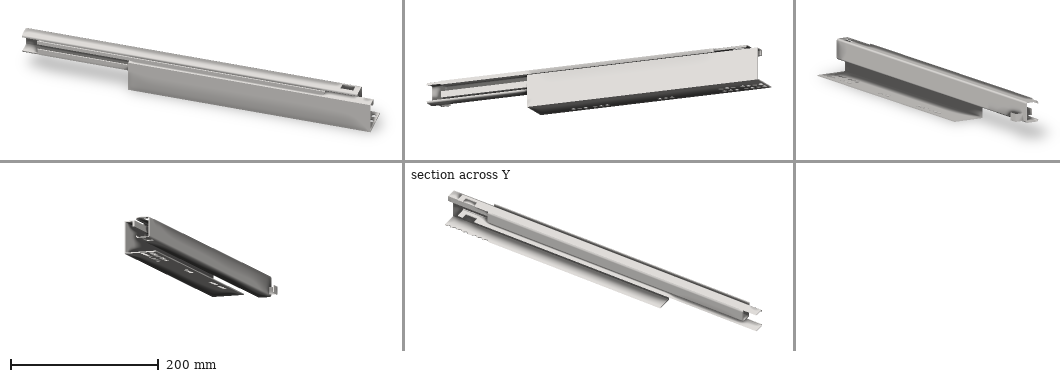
import cadquery as cq


TOTAL_LENGTH = 494.5
TOTAL_WIDTH = 45.5
TOTAL_HEIGHT = 53.5

CABINET_LENGTH = 342.0
CABINET_START_X = TOTAL_LENGTH - CABINET_LENGTH
CABINET_SHEET = 1.5
CABINET_HEIGHT = 45.0
TOP_FLANGE_WIDTH = 14.5
HEM_THICKNESS = 2 * CABINET_SHEET
HEM_HEIGHT = 8.5

HOLE_DIAMETER = 7.0
HOLE_PITCH = 9.0
HOLE_GROUP_STEP = 32.0
LAST_GROUP_X = TOTAL_LENGTH - 33.0
OUTER_ROW_Y = 36.2
INNER_ROW_Y = 24.2
INNER_ROW_GROUPS = [(0, 4), (1, 3)]
OUTER_ROW_GROUPS = INNER_ROW_GROUPS + [(4, 3), (7, 3), (8, 3)]

DRAWER_LENGTH = 474.0
DRAWER_SHEET = 1.2
DRAWER_FRONT_Y = 8.7
DRAWER_BACK_Y = 28.2
DRAWER_BOTTOM_Z = 24.8
DRAWER_BEND_RADIUS = 2.5
UPPER_LIP_HEIGHT = 3.8
LOWER_LIP_HEIGHT = 3.0

WINDOW_LENGTH = 18.0
WINDOW_END_X = DRAWER_LENGTH - 8.0
WINDOW_FRONT_Y = 14.8
WINDOW_BACK_Y = 24.8

TAB_START_X = 8.2
TAB_LENGTH = 13.0
TAB_BACK_Y = 40.0
TAB_BOTTOM_Z = 26.2
TAB_TOP_Z = 36.8

MIDDLE_START_X = 23.0
MIDDLE_END_X = 428.0
MIDDLE_SHEET = 1.5
MIDDLE_BEND_RADIUS = 3.5
MIDDLE_BACK_Y = 20.7
UPPER_LIP_FRONT_Y = 2.8
UPPER_LIP_TOP_Z = 52.0
UPPER_FLANGE_TOP_Z = 48.2
RACE_TOP_Z = 49.8
RACE_FRONT_Y = 14.0
RACE_STEP_WIDTH = 1.5
LOWER_LIP_FRONT_Y = 4.2
LOWER_LIP_TOP_Z = 37.8
LOWER_FLANGE_BOTTOM_Z = 29.0


def box(x_range, y_range, z_range):
    """A block between the given limits."""
    sizes = [high - low for low, high in (x_range, y_range, z_range)]
    corner = (x_range[0], y_range[0], z_range[0])
    return cq.Workplane("XY").box(*sizes, centered=False).translate(corner)


def bent_sheet(outer_path, thickness, x_range):
    """A sheet extruded along X whose outer face follows the (Y, Z, bend radius) points.

    The metal lies to the left of the path, and a bend radius of zero leaves a sharp corner.
    """
    points = [cq.Vector(y, z) for y, z, _ in outer_path]
    steps = [(b - a).normalized() for a, b in zip(points, points[1:])]
    left_sides = [cq.Vector(-step.y, step.x) for step in steps]
    inner_points = [points[0] + left_sides[0] * thickness]
    for point, before, after in zip(points[1:], left_sides, left_sides[1:]):
        inner_points.append(point + (before + after) * (thickness / (1 + before.dot(after))))
    inner_points.append(points[-1] + left_sides[-1] * thickness)

    start_x, end_x = x_range
    outline = [(p.x, p.y) for p in points + inner_points[::-1]]
    sheet = cq.Workplane("YZ", origin=(start_x, 0, 0)).polyline(outline).close().extrude(end_x - start_x)

    mid_x = (start_x + end_x) / 2
    for (_, _, radius), point, inner_point in zip(outer_path, points, inner_points):
        if radius == 0:
            continue
        for corner, corner_radius in ((point, radius), (inner_point, radius - thickness)):
            edge = cq.selectors.NearestToPointSelector((mid_x, corner.x, corner.y))
            sheet = sheet.edges("|X").edges(edge).fillet(corner_radius)
    return sheet


def hole_centers(row_y, groups):
    """Centres of one row of screw holes."""
    centers = []
    for steps_back, count in groups:
        group_x = LAST_GROUP_X - steps_back * HOLE_GROUP_STEP
        centers += [(group_x + i * HOLE_PITCH, row_y) for i in range(count)]
    return centers


def make_cabinet_rail():
    x_range = (CABINET_START_X, TOTAL_LENGTH)
    hem_bottom_z = CABINET_HEIGHT - HEM_HEIGHT
    path = [
        (TOP_FLANGE_WIDTH, hem_bottom_z, 0),
        (TOP_FLANGE_WIDTH, CABINET_HEIGHT, 0),
        (0, CABINET_HEIGHT, 0),
        (0, 0, 0),
        (TOTAL_WIDTH, 0, 0),
    ]
    rail = bent_sheet(path, CABINET_SHEET, x_range)
    hem_y_range = (TOP_FLANGE_WIDTH - HEM_THICKNESS, TOP_FLANGE_WIDTH)
    rail = rail.union(box(x_range, hem_y_range, (hem_bottom_z, CABINET_HEIGHT)))

    centers = hole_centers(OUTER_ROW_Y, OUTER_ROW_GROUPS) + hole_centers(INNER_ROW_Y, INNER_ROW_GROUPS)
    holes = cq.Workplane("XY").pushPoints(centers).circle(HOLE_DIAMETER / 2).extrude(CABINET_SHEET)
    return rail.cut(holes)


def make_middle_rail():
    path = [
        (LOWER_LIP_FRONT_Y, LOWER_LIP_TOP_Z, 0),
        (LOWER_LIP_FRONT_Y, LOWER_FLANGE_BOTTOM_Z, 0),
        (MIDDLE_BACK_Y, LOWER_FLANGE_BOTTOM_Z, MIDDLE_BEND_RADIUS),
        (MIDDLE_BACK_Y, RACE_TOP_Z, MIDDLE_BEND_RADIUS),
        (RACE_FRONT_Y + RACE_STEP_WIDTH, RACE_TOP_Z, 0),
        (RACE_FRONT_Y, UPPER_FLANGE_TOP_Z, 0),
        (UPPER_LIP_FRONT_Y, UPPER_FLANGE_TOP_Z, 0),
    ]
    x_range = (MIDDLE_START_X, MIDDLE_END_X)
    upper_lip = box(
        x_range,
        (UPPER_LIP_FRONT_Y, UPPER_LIP_FRONT_Y + MIDDLE_SHEET),
        (UPPER_FLANGE_TOP_Z - MIDDLE_SHEET, UPPER_LIP_TOP_Z),
    )
    return bent_sheet(path, MIDDLE_SHEET, x_range).union(upper_lip)


def make_tab():
    """An L-shaped hook standing out from the back wall and turning along X."""
    z_range = (TAB_BOTTOM_Z, TAB_TOP_Z)
    arm = box((TAB_START_X, TAB_START_X + DRAWER_SHEET), (DRAWER_BACK_Y, TAB_BACK_Y), z_range)
    finger = box((TAB_START_X, TAB_START_X + TAB_LENGTH), (TAB_BACK_Y - DRAWER_SHEET, TAB_BACK_Y), z_range)
    return arm.union(finger)


def make_drawer_rail():
    path = [
        (DRAWER_FRONT_Y, DRAWER_BOTTOM_Z + LOWER_LIP_HEIGHT, 0),
        (DRAWER_FRONT_Y, DRAWER_BOTTOM_Z, DRAWER_BEND_RADIUS),
        (DRAWER_BACK_Y, DRAWER_BOTTOM_Z, DRAWER_BEND_RADIUS),
        (DRAWER_BACK_Y, TOTAL_HEIGHT, DRAWER_BEND_RADIUS),
        (DRAWER_FRONT_Y, TOTAL_HEIGHT, DRAWER_BEND_RADIUS),
        (DRAWER_FRONT_Y, TOTAL_HEIGHT - UPPER_LIP_HEIGHT, 0),
    ]
    rail = bent_sheet(path, DRAWER_SHEET, (0, DRAWER_LENGTH))
    window = box(
        (WINDOW_END_X - WINDOW_LENGTH, WINDOW_END_X),
        (WINDOW_FRONT_Y, WINDOW_BACK_Y),
        (DRAWER_BOTTOM_Z, TOTAL_HEIGHT),
    )
    return rail.cut(window).union(make_tab())


cabinet_rail = make_cabinet_rail().solids()
middle_rail = make_middle_rail().solids()
drawer_rail = make_drawer_rail().solids()

result = cq.Compound.makeCompound([cabinet_rail.val(), middle_rail.val(), drawer_rail.val()])